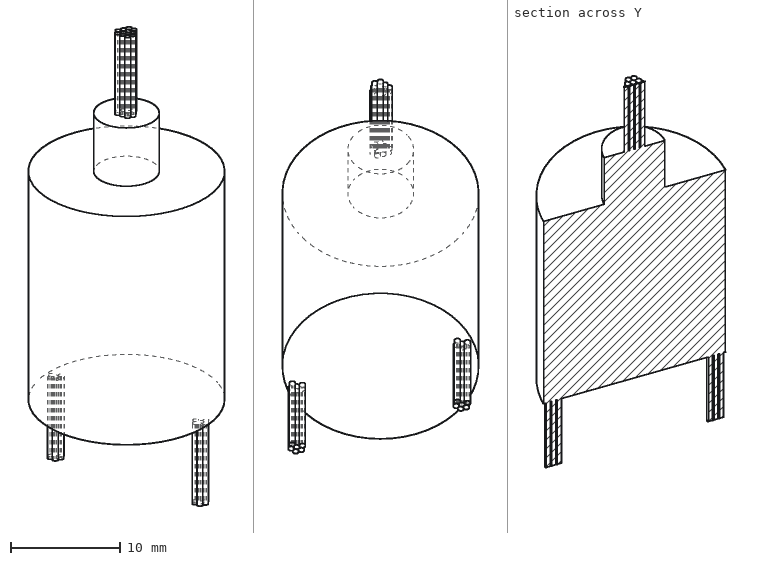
import cadquery as cq
import math

total_height = 46.3
body_diameter = 18.0
boss_diameter = 6.0
boss_height = 6.0
lead_length = 8.35
body_height = total_height - boss_height - 2 * lead_length

strand_diameter = 0.55
strand_pitch = 0.98 * strand_diameter
row_pitch = strand_pitch * math.sqrt(3) / 2

top_lead_rows = ((3, 0), (4, 0), (3, 0), (2, 0))
bottom_lead_rows = ((2, 0), (3, 0), (1, 0.5))
top_lead_y = 0.1
bottom_lead_spacing = 16.0
bottom_lead_x = 0.05
bottom_lead_y = 0.2

body_bottom = lead_length
body_top = body_bottom + body_height
boss_top = body_top + boss_height


def cylinder(diameter, height, base_z):
    return cq.Workplane("XY").workplane(offset=base_z).circle(diameter / 2).extrude(height)


def stranded_lead(rows, center_x, center_y, base_z):
    """Bundle of parallel strands; rows are spread evenly about center_y."""
    centers = []
    for row, (count, shift) in enumerate(rows):
        y = center_y + (row - (len(rows) - 1) / 2) * row_pitch
        for column in range(count):
            x = center_x + (shift + column - (count - 1) / 2) * strand_pitch
            centers.append((x, y))
    bundle = cq.Workplane("XY")
    for x, y in centers:
        strand = cylinder(strand_diameter, lead_length, base_z).translate((x, y, 0))
        bundle = bundle.union(strand)
    return bundle


result = cylinder(body_diameter, body_height, body_bottom)
result = result.union(cylinder(boss_diameter, boss_height, body_top))
result = result.union(stranded_lead(top_lead_rows, 0, top_lead_y, boss_top))
for side in (-1, 1):
    lead_x = bottom_lead_x + side * bottom_lead_spacing / 2
    result = result.union(stranded_lead(bottom_lead_rows, lead_x, bottom_lead_y, 0))